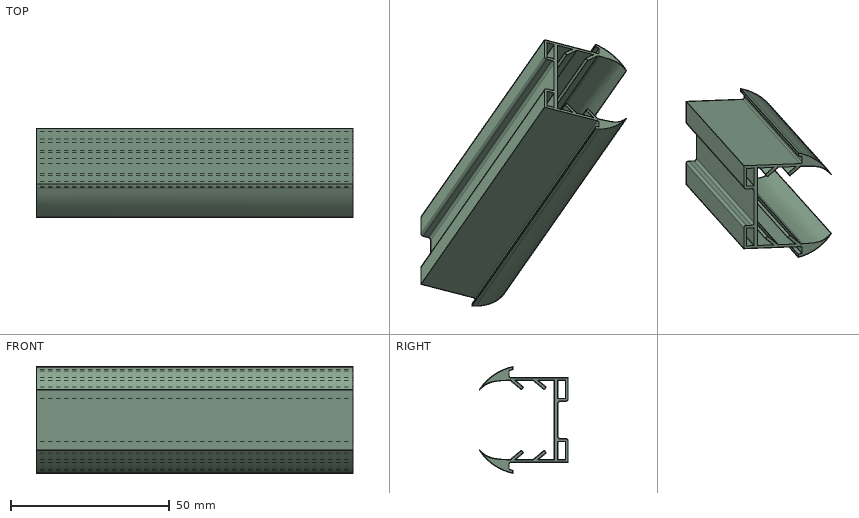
import cadquery as cq
import math

LENGTH = 100.0
DEPTH = 28.1
HEIGHT = 33.67

WALL = 0.9
CHANNEL_HEIGHT = 26.8
WEB_BACK = 3.3
WEB_THICKNESS = 1.15
WEB_FRONT = WEB_BACK + WEB_THICKNESS
FLANGE_OUTER = CHANNEL_HEIGHT / 2
FLANGE_INNER = FLANGE_OUTER - WALL

BOX_HEIGHT = 7.5
BOX_BOTTOM = FLANGE_OUTER - BOX_HEIGHT
BOX_RADIUS = 0.8

NECK_DEPTH = 18.65
NECK_RADIUS = 0.5
LIP_TOP = HEIGHT / 2
LIP_BACK = 17.5
LIP_END_HEIGHT = 0.9
LIP_UNDERSIDE = LIP_TOP - LIP_END_HEIGHT
LIP_UNDERSIDE_DROP = 0.4
LIP_NECK_TOP = LIP_UNDERSIDE - LIP_UNDERSIDE_DROP
LIP_CURVE_START = (18.8, 16.5)
LIP_TIP = (DEPTH, 9.5)
LIP_OUTER_RADIUS = 17.0
LIP_INNER_START = (18.9, FLANGE_INNER)
LIP_INNER_START_PULL = (25.5, FLANGE_INNER)
LIP_INNER_TIP_PULL = (26.0, 11.33)

RIB_TIP_DEPTH = 6.95
RIB_TIP_HEIGHT = 10.35
RIB_PITCH = 7.2
RIB_COUNT = 2
RIB_THICKNESS = 1.0
RIB_ANGLE = math.radians(40)
RIB_ROOT_OVERLAP = WALL / 2


def section():
    """Workplane whose local axes are depth (-Y) and height (+Z)."""
    plane = cq.Plane(origin=(-LENGTH / 2, 0, 0), xDir=(0, -1, 0), normal=(-1, 0, 0))
    return cq.Workplane(plane)


def extrude(outline):
    """Close a section outline and carry it along the full length."""
    return outline.close().extrude(-LENGTH)


def block(depth_start, depth_end, bottom, top):
    """Full-length rectangular bar."""
    outline = (
        section()
        .moveTo(depth_start, bottom)
        .lineTo(depth_end, bottom)
        .lineTo(depth_end, top)
        .lineTo(depth_start, top)
    )
    return extrude(outline)


def lip():
    """Flange front end: neck, overhanging lip and outer curve down to a sharp tip."""
    outline = (
        section()
        .moveTo(NECK_DEPTH, FLANGE_INNER)
        .lineTo(*LIP_INNER_START)
        .bezier([LIP_INNER_START, LIP_INNER_START_PULL, LIP_INNER_TIP_PULL, LIP_TIP])
        .radiusArc(LIP_CURVE_START, -LIP_OUTER_RADIUS)
        .lineTo(LIP_BACK, LIP_TOP)
        .lineTo(LIP_BACK, LIP_UNDERSIDE)
        .lineTo(NECK_DEPTH, LIP_NECK_TOP)
    )
    return extrude(outline)


def inside_corner(depth, height, depth_side, height_side, radius):
    """Concave fillet filling the corner at (depth, height); the sides give its direction."""
    along_depth = (depth + depth_side * radius, height)
    along_height = (depth, height + height_side * radius)
    bulge = radius * (1 - math.sqrt(0.5))
    arc_middle = (depth + depth_side * bulge, height + height_side * bulge)
    outline = (
        section()
        .moveTo(depth, height)
        .lineTo(*along_depth)
        .threePointArc(arc_middle, along_height)
    )
    return extrude(outline)


def rib(tip_depth):
    """Rib rising from its free end up and forward into the flange."""
    root_height = FLANGE_INNER + RIB_ROOT_OVERLAP
    end_depth = tip_depth + RIB_THICKNESS * math.sin(RIB_ANGLE)
    end_height = RIB_TIP_HEIGHT - RIB_THICKNESS * math.cos(RIB_ANGLE)
    back_root = tip_depth + (root_height - RIB_TIP_HEIGHT) / math.tan(RIB_ANGLE)
    front_root = end_depth + (root_height - end_height) / math.tan(RIB_ANGLE)
    outline = (
        section()
        .moveTo(tip_depth, RIB_TIP_HEIGHT)
        .lineTo(end_depth, end_height)
        .lineTo(front_root, root_height)
        .lineTo(back_root, root_height)
    )
    return extrude(outline)


def box():
    """Hollow box bar between the back face and the web, with a rounded lower back edge."""
    outer = block(0, WEB_FRONT, BOX_BOTTOM, FLANGE_OUTER)
    outer = outer.edges("|X and >Y and <Z").fillet(BOX_RADIUS)
    cavity = block(WALL, WEB_BACK, BOX_BOTTOM + WALL, FLANGE_INNER)
    return outer.cut(cavity)


def upper_half():
    """Everything above the symmetry plane."""
    half = block(WEB_BACK, WEB_FRONT, 0, FLANGE_OUTER)
    half = half.union(box())
    half = half.union(block(WEB_BACK, NECK_DEPTH, FLANGE_INNER, FLANGE_OUTER))
    half = half.union(lip())
    half = half.union(inside_corner(WEB_BACK, BOX_BOTTOM, -1, -1, BOX_RADIUS))
    half = half.union(inside_corner(NECK_DEPTH, FLANGE_OUTER, -1, 1, NECK_RADIUS))
    for index in range(RIB_COUNT):
        half = half.union(rib(RIB_TIP_DEPTH + index * RIB_PITCH))
    return half


upper = upper_half()
result = upper.union(upper.mirror("XY")).clean()